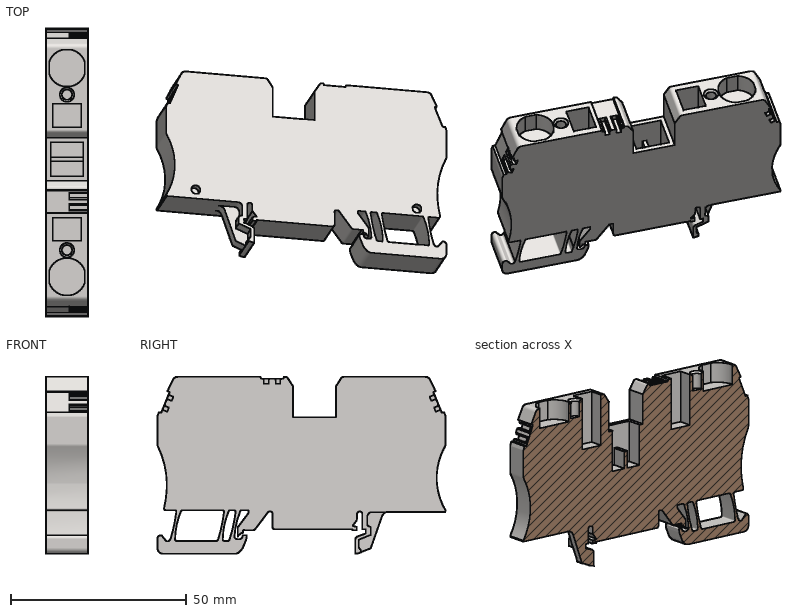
import cadquery as cq
import math


WIDTH = 12.0
LENGTH = 82.2
HEIGHT = 50.5
HALF_WIDTH = WIDTH / 2
HALF_LENGTH = LENGTH / 2
OVERLAP = 0.5

HOOK_SIDE_Z = 11.95
FOOT_SIDE_Z = 12.45
RAIL_Z = 7.0
SLOT_FLOOR_Z = 39.0
MARKER_Z = HEIGHT - 0.55

SLOPE_TOP = (36.25, HEIGHT)
SLOPE_STEP = (38.25, 46.35)
PAD_TOP = (37.6, 46.1)
PAD_BOTTOM = (39.95, 40.35)
PAD_SHELF_Y = 40.7
END_WALL_TOP_Z = 39.15
END_WALL_RADIUS = 0.6
TOP_EDGE_RADIUS = 1.5

GRIP_TOP_Z = 30.95
GRIP_TOP_RADIUS = 1.9
FOOT_GRIP_BOTTOM_RADIUS = 0.5
HOOK_GRIP_BOTTOM_Z = 12.35
HOOK_GRIP_MIDDLE = (38.55, 21.45)
FOOT_GRIP_WAIST = (-38.4, 20.1)
FOOT_GRIP_BOTTOM_Y = -39.35
FOOT_GRIP_UPPER_RADIUS = 21.4
FOOT_GRIP_LOWER_RADIUS = 33.0

SLOT_Y = (-2.4, 9.8)
SLOT_CHAMFER_Y = 1.75
SLOT_CHAMFER_Z = 2.7
SLOT_EDGE_RADIUS = 1.0
MARKER_Y = (-11.5, -5.2)
MARKER_WALL_RUN = 0.2

GROOVE_START_X = 0.6
GROOVE_DEPTH = 1.5
GROOVE_CHAMFER_DEPTH = 0.35
GROOVE_OUTER_CHAMFER = 0.25
GROOVE_TOOTH_CHAMFER = 0.45
GROOVE_EDGE = 0.55
GROOVE_WIDTH = 2.0

WIRE_HOLE_Y = 29.75
WIRE_HOLE_RADIUS = 5.35
WIRE_HOLE_WIDTH = 10.2
WIRE_HOLE_LENGTH = 10.45
WIRE_HOLE_DEPTH = 5.8
TEST_HOLE_Y = 22.15
TEST_HOLE_RADIUS = 1.45
TEST_HOLE_RIM_RADIUS = 2.05
TEST_HOLE_RIM_DEPTH = 0.6
TEST_HOLE_DEPTH = 5.0
TOOL_POCKET_Y = (12.9, 19.5)
TOOL_POCKET_WIDTH = 8.2
TOOL_POCKET_DEPTH = 15.0

BRIDGE_POCKET_Y = (-1.15, 8.55)
BRIDGE_POCKET_WIDTH = 9.2
BRIDGE_POCKET_DEPTH = 12.0
BRIDGE_RIB_Y = (3.15, 4.35)
BRIDGE_RIB_TOP_DEPTH = 7.0

PIN_HOLE_Y = 32.4
PIN_HOLE_Z = 14.65
PIN_HOLE_RADIUS = 1.3
PIN_HOLE_DEPTH = 2.2

HOOK_BACK = [(16.3, 1.8), (16.3, 4.05), (19.8, 5.45), (19.8, 7.6)]
WEB_THICKNESS = 4.0

FOOT_BAR_TOP_Z = 3.75
LEG_OFFSETS = (0.0, -3.3, -16.9)
LEG_FILLET = 0.4


def prism(closed_outline, start_x=-HALF_WIDTH, end_x=HALF_WIDTH):
    """Extrude a closed YZ outline from start_x to end_x."""
    return closed_outline.extrude(end_x - start_x).translate((start_x, 0, 0))


def corner_points(before, corner, after):
    """Start, middle and end of the arc that rounds a corner given as (y, z, radius)."""
    y, z, radius = corner
    angle_in = math.atan2(before[1] - z, before[0] - y)
    angle_out = math.atan2(after[1] - z, after[0] - y)
    half_angle = abs(math.remainder(angle_out - angle_in, 2 * math.pi)) / 2
    bisector = angle_in + math.remainder(angle_out - angle_in, 2 * math.pi) / 2
    setback = radius / math.tan(half_angle)
    middle = radius / math.sin(half_angle) - radius
    return [
        (y + distance * math.cos(angle), z + distance * math.sin(angle))
        for distance, angle in ((setback, angle_in), (middle, bisector), (setback, angle_out))
    ]


def outline(corners):
    """Closed YZ outline through corners (y, z) or, rounded, (y, z, radius)."""
    wire = None
    for index, corner in enumerate(corners):
        after = corners[(index + 1) % len(corners)]
        rounded = len(corner) == 3
        points = corner_points(corners[index - 1], corner, after) if rounded else [corner]
        if wire is None:
            wire = cq.Workplane("YZ").moveTo(*points[0])
        else:
            wire = wire.lineTo(*points[0])
        if rounded:
            wire = wire.threePointArc(points[1], points[2])
    return wire.close()


def pocket(y_range, width, top_z, depth):
    """Box that is centred on X and reaches down from top_z."""
    length = y_range[1] - y_range[0]
    return (
        cq.Workplane("XY")
        .box(width, length, depth, centered=(True, False, False))
        .translate((0, y_range[0], top_z - depth))
    )


def end_slope(side):
    """Stepped slope of one end, from the top down; side is +1 or -1 along Y."""
    points = [
        (*SLOPE_TOP, TOP_EDGE_RADIUS),
        SLOPE_STEP,
        PAD_TOP,
        PAD_BOTTOM,
        (PAD_SHELF_Y, PAD_BOTTOM[1]),
        (HALF_LENGTH, END_WALL_TOP_Z, END_WALL_RADIUS),
    ]
    return [(side * point[0], *point[1:]) for point in points]


def housing():
    slot_left, slot_right = SLOT_Y
    chamfer_z = HEIGHT - SLOT_CHAMFER_Z
    slot = [
        (slot_right + SLOT_CHAMFER_Y, HEIGHT, SLOT_EDGE_RADIUS),
        (slot_right, chamfer_z),
        (slot_right, SLOT_FLOOR_Z),
        (slot_left, SLOT_FLOOR_Z),
        (slot_left, chamfer_z),
        (slot_left - SLOT_CHAMFER_Y, HEIGHT, SLOT_EDGE_RADIUS),
    ]
    marker_recess = [
        (MARKER_Y[1] + MARKER_WALL_RUN, HEIGHT),
        (MARKER_Y[1], MARKER_Z),
        (MARKER_Y[0], MARKER_Z),
        (MARKER_Y[0] - MARKER_WALL_RUN, HEIGHT),
    ]
    foot_side = [
        (-HALF_LENGTH, FOOT_SIDE_Z),
        (-15.1, FOOT_SIDE_Z, 0.3),
        (-15.1, 11.7, 0.3),
        (-18.2, 7.6),
        (-18.2, 4.95),
        (-17.4, 5.75),
        (-16.6, 6.1),
        (-16.6, RAIL_Z, 0.2),
        (-16.2, RAIL_Z - 0.25),
        (-13.4, RAIL_Z - 0.25, 0.8),
        (-9.4, 12.05, 0.6),
        (-8.3, 12.05, 0.5),
        (-8.3, RAIL_Z, 0.7),
    ]
    rail_edge = [
        (14.5, RAIL_Z),
        (14.5, RAIL_Z - 0.3),
        (15.75, RAIL_Z - 0.3),
        (15.75, 7.75),
        (14.6, 8.0),
        (15.8, 9.6),
        (15.9, 12.05, 0.65),
    ]
    hook = [
        (17.3, 12.05, 0.65),
        (17.3, RAIL_Z),
        (18.25, RAIL_Z),
        (18.25, 5.85),
        (15.25, 4.75, 1.2),
        (15.25, 0),
        (16.2, 0.15),
        (16.85, 0.4),
        (16.85, 1.2),
        *HOOK_BACK,
        (18.75, 8.1, 0.5),
        (18.75, HOOK_SIDE_Z, 1.4),
    ]
    bottom_corner = [(40.9, HOOK_SIDE_Z), (HALF_LENGTH, HOOK_GRIP_BOTTOM_Z)]
    corners = end_slope(1)[::-1] + slot + marker_recess + end_slope(-1)
    corners += foot_side + rail_edge + hook + bottom_corner
    return prism(outline(corners))


def hook_web():
    """Stiffening web between the hook and the underside, set back from both faces."""
    web = outline([
        (24.4, HOOK_SIDE_Z),
        (23.4, HOOK_SIDE_Z, 1.8),
        (19.75, 1.6, 0.6),
        (16.85, 0.45),
        *HOOK_BACK,
        (18.7, 8.1),
        (18.7, HOOK_SIDE_Z + OVERLAP),
        (24.4, HOOK_SIDE_Z + OVERLAP),
    ])
    return prism(web, -WEB_THICKNESS / 2, WEB_THICKNESS / 2)


def hook_side_grip():
    grip = (
        cq.Workplane("YZ")
        .moveTo(HALF_LENGTH, GRIP_TOP_Z)
        .threePointArc(HOOK_GRIP_MIDDLE, (HALF_LENGTH, HOOK_GRIP_BOTTOM_Z))
        .close()
    )
    return prism(grip)


def foot_side_grip():
    """Two arcs that meet upright at the waist of the grip."""
    waist_y, waist_z = FOOT_GRIP_WAIST

    def arc_point(radius, z):
        rise = z - waist_z
        return (waist_y - radius + math.sqrt(radius**2 - rise**2), z)

    upper_middle = arc_point(FOOT_GRIP_UPPER_RADIUS, (waist_z + GRIP_TOP_Z) / 2)
    lower_middle = arc_point(FOOT_GRIP_LOWER_RADIUS, (waist_z + FOOT_SIDE_Z) / 2)
    grip = (
        cq.Workplane("YZ")
        .moveTo(-HALF_LENGTH, GRIP_TOP_Z)
        .threePointArc(upper_middle, FOOT_GRIP_WAIST)
        .threePointArc(lower_middle, (FOOT_GRIP_BOTTOM_Y, FOOT_SIDE_Z))
        .lineTo(-HALF_LENGTH, FOOT_SIDE_Z)
        .close()
    )
    return prism(grip)


def foot_bar():
    bar = outline([
        (-15.5, 5.4, 0.2),
        (-16.75, 5.4, 0.2),
        (-16.95, 4.25, 0.9),
        (-19.15, 4.25, 0.9),
        (-19.15, 5.6),
        (-20.1, 5.6),
        (-20.65, FOOT_BAR_TOP_Z),
        (-37.0, FOOT_BAR_TOP_Z),
        (-37.35, 4.3),
        (-37.8, 3.65, 0.5),
        (-38.5, 3.65, 0.5),
        (-39.9, 5.35, 0.3),
        (-HALF_LENGTH, 5.35, 1.05),
        (-HALF_LENGTH, 0, 1.75),
        (-18.2, 0, 2.0),
        (-16.8, 1.5, 2.0),
        (-15.7, 4.2),
    ])
    return prism(bar)


def foot_leg(offset_y):
    """Curved spring leg between the bar and the underside of the housing."""
    leg = (
        cq.Workplane("YZ")
        .moveTo(-17.3, FOOT_SIDE_Z)
        .threePointArc((-18.65, 8.2), (-19.1, FOOT_BAR_TOP_Z))
        .lineTo(-20.6, FOOT_BAR_TOP_Z)
        .threePointArc((-19.4, 8.4), (-18.75, FOOT_SIDE_Z))
        .close()
    )
    return prism(leg).translate((0, offset_y, 0))


def round_grips(body):
    """Round the edges where the grips leave the end walls and the foot-side underside."""
    nearest = cq.selectors.NearestToPointSelector
    body = body.edges(nearest((0, HALF_LENGTH, GRIP_TOP_Z))).fillet(GRIP_TOP_RADIUS)
    body = body.edges(nearest((0, -HALF_LENGTH, GRIP_TOP_Z))).fillet(GRIP_TOP_RADIUS)
    corner = (0, FOOT_GRIP_BOTTOM_Y, FOOT_SIDE_Z)
    return body.edges(nearest(corner)).fillet(FOOT_GRIP_BOTTOM_RADIUS)


def fillet_legs(body):
    """Round the corners where the legs meet the housing and the bar."""
    margin = 0.05

    def corner_zone(y_min, y_max, z):
        low = (-WIDTH, y_min, z - margin)
        high = (WIDTH, y_max, z + margin)
        return cq.selectors.BoxSelector(low, high)

    top_corners = corner_zone(-36.5, -17.0, FOOT_SIDE_Z)
    bar_corners = corner_zone(-36.5, -20.5, FOOT_BAR_TOP_Z)
    return body.edges("|X").edges(top_corners + bar_corners).fillet(LEG_FILLET)


def wire_hole(side):
    """Round hole with four flats."""
    floor_z = HEIGHT - WIRE_HOLE_DEPTH
    round_hole = cq.Workplane("XY").circle(WIRE_HOLE_RADIUS).extrude(WIRE_HOLE_DEPTH)
    flats = cq.Workplane("XY").rect(WIRE_HOLE_WIDTH, WIRE_HOLE_LENGTH).extrude(WIRE_HOLE_DEPTH)
    return round_hole.intersect(flats).translate((0, side * WIRE_HOLE_Y, floor_z))


def test_hole(side):
    """Round hole with a countersunk rim."""
    hole = (
        cq.Workplane("XZ")
        .lineTo(TEST_HOLE_RIM_RADIUS, 0)
        .lineTo(TEST_HOLE_RADIUS, -TEST_HOLE_RIM_DEPTH)
        .lineTo(TEST_HOLE_RADIUS, -TEST_HOLE_DEPTH)
        .lineTo(0, -TEST_HOLE_DEPTH)
        .close()
        .revolve(360, (0, 0, 0), (0, 1, 0))
    )
    return hole.translate((0, side * TEST_HOLE_Y, HEIGHT))


def tool_pocket(side):
    y_range = sorted(side * y for y in TOOL_POCKET_Y)
    return pocket(y_range, TOOL_POCKET_WIDTH, HEIGHT, TOOL_POCKET_DEPTH)


def pin_hole(side):
    hole = cq.Workplane("YZ").circle(PIN_HOLE_RADIUS).extrude(PIN_HOLE_DEPTH)
    return hole.translate((-HALF_WIDTH, side * PIN_HOLE_Y, PIN_HOLE_Z))


def bridge_pocket():
    opening = pocket(BRIDGE_POCKET_Y, BRIDGE_POCKET_WIDTH, SLOT_FLOOR_Z, BRIDGE_POCKET_DEPTH)
    rib_height = BRIDGE_POCKET_DEPTH - BRIDGE_RIB_TOP_DEPTH
    rib_top_z = SLOT_FLOOR_Z - BRIDGE_RIB_TOP_DEPTH
    return opening.cut(pocket(BRIDGE_RIB_Y, BRIDGE_POCKET_WIDTH, rib_top_z, rib_height))


def marker_grooves(start, end, inward):
    """Two mirrored grooves with a tooth between them, in the pad from start to end.

    inward is the unit vector, in YZ, that points from the pad into the housing.
    """
    length = math.dist(start, end)
    along = ((end[0] - start[0]) / length, (end[1] - start[1]) / length)

    def place(distance, depth):
        return tuple(start[i] + distance * along[i] + depth * inward[i] for i in (0, 1))

    far_edge = GROOVE_EDGE + GROOVE_WIDTH
    outer_wall = GROOVE_EDGE + GROOVE_OUTER_CHAMFER
    tooth_wall = far_edge - GROOVE_TOOTH_CHAMFER
    profile = [
        (GROOVE_EDGE, -OVERLAP),
        (GROOVE_EDGE, 0),
        (outer_wall, GROOVE_CHAMFER_DEPTH),
        (outer_wall, GROOVE_DEPTH),
        (tooth_wall, GROOVE_DEPTH),
        (tooth_wall, GROOVE_CHAMFER_DEPTH),
        (far_edge, 0),
        (far_edge, -OVERLAP),
    ]
    first = [place(distance, depth) for distance, depth in profile]
    second = [place(length - distance, depth) for distance, depth in profile]
    grooves = prism(outline(first), GROOVE_START_X)
    return grooves.union(prism(outline(second), GROOVE_START_X))


def end_grooves(side):
    length = math.dist(PAD_TOP, PAD_BOTTOM)
    inward_y = (PAD_BOTTOM[1] - PAD_TOP[1]) / length
    inward_z = (PAD_TOP[0] - PAD_BOTTOM[0]) / length
    start = (side * PAD_TOP[0], PAD_TOP[1])
    end = (side * PAD_BOTTOM[0], PAD_BOTTOM[1])
    return marker_grooves(start, end, (side * inward_y, inward_z))


part = housing().union(hook_web())
part = part.cut(hook_side_grip()).cut(foot_side_grip())
part = round_grips(part)

part = part.union(foot_bar())
for leg_offset in LEG_OFFSETS:
    part = part.union(foot_leg(leg_offset))
part = fillet_legs(part)

for end_side in (1, -1):
    for opening in (wire_hole, test_hole, tool_pocket, pin_hole, end_grooves):
        part = part.cut(opening(end_side))
part = part.cut(bridge_pocket())
part = part.cut(marker_grooves((MARKER_Y[1], MARKER_Z), (MARKER_Y[0], MARKER_Z), (0, -1)))

result = part